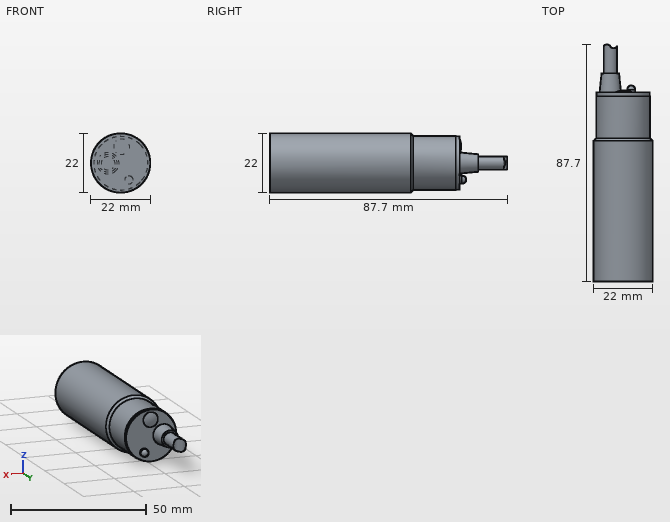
import cadquery as cq
import math

chamfer_start = 52.0
sleeve_end = 52.95
housing_end = 68.6
cap_end = 70.05
gland_end = 77.0
overall_length = 87.7

sleeve_diameter = 22.0
neck_diameter = 20.0

cap_diameter = 19.8

cable_x = -4.7
cable_z = 0.0
gland_base_diameter = 8.0
gland_tip_diameter = 6.6
cable_diameter = 5.0
break_wave_height = 0.7

lamp_x = 3.0
lamp_z = -6.1
lamp_base_diameter = 3.1
lamp_base_height = 0.8
lens_diameter = 3.0
lamp_height = 2.45

button_x = 0.3
button_z = 6.1
button_diameter = 5.8
button_height = 0.6


def revolve_about_y(half_profile, x=0.0, z=0.0):
    """Revolve a closed XY half profile about the Y axis, then move it to (x, z)."""
    return half_profile.revolve(360, (0, 0, 0), (0, 1, 0)).translate((x, 0, z))


def make_housing():
    sleeve_radius = sleeve_diameter / 2
    neck_radius = neck_diameter / 2
    profile = (
        cq.Workplane("XY")
        .moveTo(0, 0)
        .lineTo(sleeve_radius, 0)
        .lineTo(sleeve_radius, chamfer_start)
        .lineTo(neck_radius, sleeve_end)
        .lineTo(neck_radius, housing_end)
        .lineTo(0, housing_end)
        .close()
    )
    return revolve_about_y(profile)


def make_disc():
    radius = cap_diameter / 2
    profile = (
        cq.Workplane("XY")
        .moveTo(0, housing_end)
        .lineTo(radius, housing_end)
        .lineTo(radius, cap_end)
        .lineTo(0, cap_end)
        .close()
    )
    return revolve_about_y(profile)


def make_gland():
    profile = (
        cq.Workplane("XY")
        .moveTo(0, housing_end)
        .lineTo(gland_base_diameter / 2, housing_end)
        .lineTo(gland_base_diameter / 2, cap_end)
        .lineTo(gland_tip_diameter / 2, gland_end)
        .lineTo(0, gland_end)
        .close()
    )
    return revolve_about_y(profile, cable_x, cable_z)


def make_cable():
    """Round cable whose broken end is an S wave: a crest beside a trough."""
    radius = cable_diameter / 2
    break_middle = overall_length - break_wave_height
    round_bar = revolve_about_y(
        cq.Workplane("XY")
        .moveTo(0, housing_end)
        .lineTo(radius, housing_end)
        .lineTo(radius, overall_length)
        .lineTo(0, overall_length)
        .close()
    )
    wave_prism = (
        cq.Workplane("XY")
        .moveTo(-radius, housing_end)
        .lineTo(-radius, break_middle)
        .threePointArc((-radius / 2, overall_length), (0, break_middle))
        .threePointArc((radius / 2, break_middle - break_wave_height), (radius, break_middle))
        .lineTo(radius, housing_end)
        .close()
        .extrude(radius, both=True)
    )
    return round_bar.intersect(wave_prism).translate((cable_x, 0, cable_z))


def make_lamp():
    base_radius = lamp_base_diameter / 2
    lens_radius = lens_diameter / 2
    base_top = cap_end + lamp_base_height
    lamp_top = cap_end + lamp_height
    dome_start = lamp_top - lens_radius
    arc_offset = lens_radius * math.sqrt(0.5)
    profile = (
        cq.Workplane("XY")
        .moveTo(0, housing_end)
        .lineTo(base_radius, housing_end)
        .lineTo(base_radius, base_top)
        .lineTo(lens_radius, base_top)
        .lineTo(lens_radius, dome_start)
        .threePointArc((arc_offset, dome_start + arc_offset), (0, lamp_top))
        .close()
    )
    return revolve_about_y(profile, lamp_x, lamp_z)


def make_button():
    radius = button_diameter / 2
    sphere_radius = (radius**2 + button_height**2) / (2 * button_height)
    button_top = cap_end + button_height
    half_angle = math.asin(radius / sphere_radius) / 2
    arc_middle = (
        sphere_radius * math.sin(half_angle),
        button_top - sphere_radius * (1 - math.cos(half_angle)),
    )
    profile = (
        cq.Workplane("XY")
        .moveTo(0, housing_end)
        .lineTo(radius, housing_end)
        .lineTo(radius, cap_end)
        .threePointArc(arc_middle, (0, button_top))
        .close()
    )
    return revolve_about_y(profile, button_x, button_z)


def make_end_cap():
    """End cap carrying the gland, cable, lamp and button as one solid."""
    cap = make_disc()
    for feature in (make_gland(), make_cable(), make_lamp(), make_button()):
        cap = cap.union(feature)
    return cap


housing = make_housing()
end_cap = make_end_cap()

result = cq.Compound.makeCompound([housing.val(), end_cap.val()])